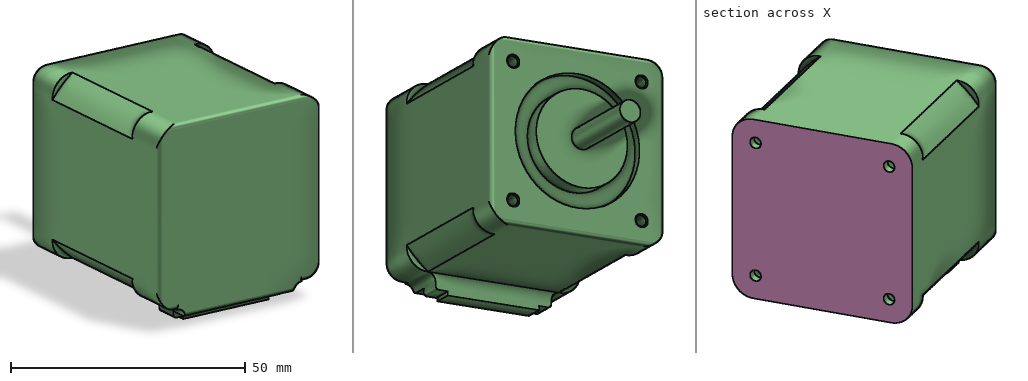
import cadquery as cq
import math

total_length = 72.0
body_width = 42.0
half_width = body_width / 2

shaft_length = 24.0
front_cap_length = 8.0
rear_cap_length = 9.9
boss_height = 2.0
front_face = shaft_length
front_cap_end = front_face + front_cap_length
rear_cap_start = total_length - rear_cap_length

cap_corner_radius = 5.0
end_round = 1.0

middle_arc_radius = 26.3

shaft_diameter = 5.0
boss_diameter = 22.0
recess_diameter = 30.0
recess_depth = 2.0

hole_spacing = 31.0
hole_diameter = 2.45
hole_mouth_diameter = 3.0
hole_depth = 4.5
drill_point_angle = 118

base_drop = 2.0
connector_width = 28.0
connector_length = 5.4
connector_drop = 3.7
connector_round = 0.9
tongue_width = boss_diameter
tongue_length = 4.75
tongue_drop = 4.6


def yz_plane(x):
    return cq.Workplane("YZ", origin=(x, 0, 0))


def box_below(length, width, drop):
    """Block starting at the rear cap and reaching `drop` below the body."""
    height = half_width + drop
    return (
        yz_plane(rear_cap_start)
        .center(0, -height / 2)
        .rect(width, height)
        .extrude(length)
    )


def end_cap(start, length, outer_face):
    """Square cap with its flat sides rounded into the outer face, then round corners."""
    square = yz_plane(start).rect(body_width, body_width).extrude(length)
    rounded = square.faces(outer_face).edges().fillet(end_round)
    corners = square.edges("|X").fillet(cap_corner_radius)
    return rounded.intersect(corners)


def middle():
    length = rear_cap_start - front_cap_end
    square = yz_plane(front_cap_end).rect(body_width, body_width).extrude(length)
    return square.intersect(yz_plane(front_cap_end).circle(middle_arc_radius).extrude(length))


def connector_base():
    """Base flaring into the body through concave arcs, rounded at the rear bottom edge."""
    half_foot = connector_width / 2
    bottom = -half_width - base_drop
    arc_offset = base_drop * (1 - math.sqrt(0.5))
    flare_mid = (half_foot + arc_offset, -half_width - arc_offset)
    base = (
        yz_plane(rear_cap_start)
        .moveTo(-half_foot, bottom)
        .lineTo(half_foot, bottom)
        .threePointArc(flare_mid, (half_foot + base_drop, -half_width))
        .lineTo(half_foot, 0)
        .lineTo(-half_foot, 0)
        .lineTo(-half_foot - base_drop, -half_width)
        .threePointArc((-flare_mid[0], flare_mid[1]), (-half_foot, bottom))
        .close()
        .extrude(rear_cap_length)
    )
    return base.faces("<Z").edges(">X").fillet(end_round)


def connector():
    housing = box_below(connector_length, connector_width, connector_drop)
    housing = housing.faces("<Z").edges("|X").fillet(connector_round)
    tongue = box_below(tongue_length, tongue_width, tongue_drop)
    return housing.union(tongue)


def mounting_hole():
    """Blind drilled hole about the X axis with a chamfered mouth and a conical bottom."""
    radius = hole_diameter / 2
    mouth_radius = hole_mouth_diameter / 2
    chamfer = mouth_radius - radius
    point_depth = radius / math.tan(math.radians(drill_point_angle / 2))
    return (
        cq.Workplane("XY")
        .polyline([
            (0, 0),
            (0, mouth_radius),
            (chamfer, radius),
            (hole_depth, radius),
            (hole_depth + point_depth, 0),
        ])
        .close()
        .revolve(360, (0, 0, 0), (1, 0, 0))
    )


result = end_cap(front_face, front_cap_length, "<X")
result = result.union(middle())
result = result.union(end_cap(rear_cap_start, rear_cap_length, ">X"))
result = result.union(connector_base()).union(connector())

recess_floor = front_face + recess_depth
result = result.cut(yz_plane(front_face).circle(recess_diameter / 2).extrude(recess_depth))
boss_start = front_face - boss_height
result = result.union(yz_plane(boss_start).circle(boss_diameter / 2).extrude(recess_floor - boss_start))
result = result.union(yz_plane(0).circle(shaft_diameter / 2).extrude(recess_floor))

for y_side in (-1, 1):
    for z_side in (-1, 1):
        hole_position = (front_face, y_side * hole_spacing / 2, z_side * hole_spacing / 2)
        result = result.cut(mounting_hole().translate(hole_position))